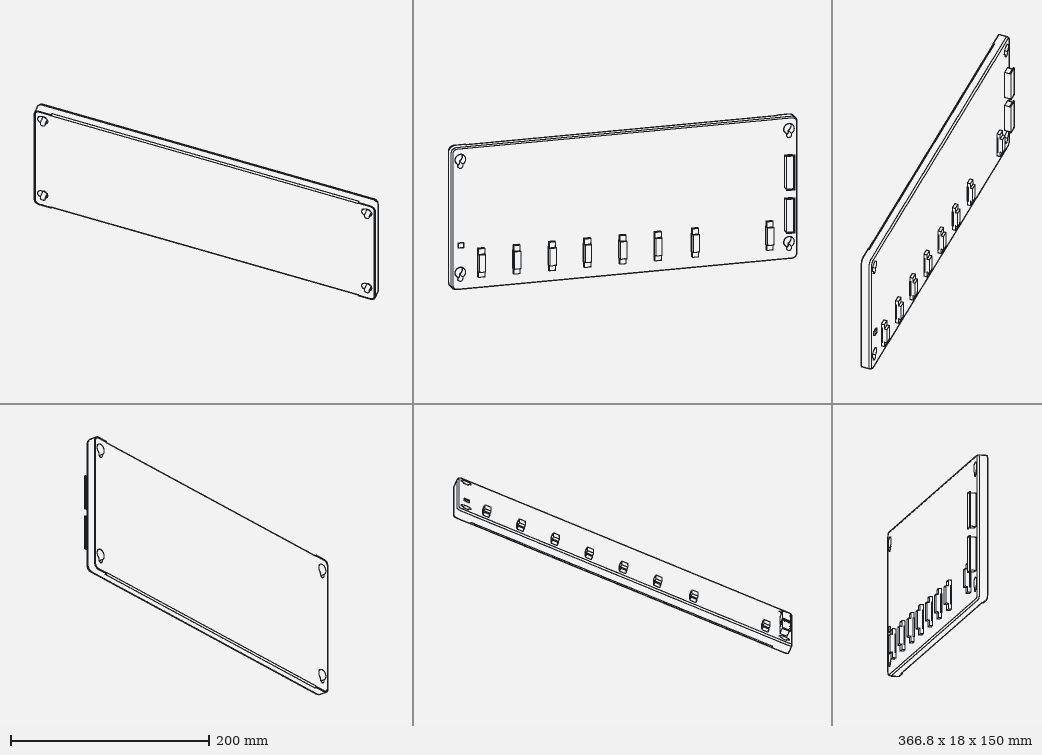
import cadquery as cq

WIDTH = 366.8
HEIGHT = 150.0
TOTAL_DEPTH = 18.0
BODY_DEPTH = 11.0
CORNER_RADIUS = 6.0

REAR_CHAMFER_DEPTH = 2.2
REAR_CHAMFER_INSET = 1.0
FRONT_STEP_DEPTH = 0.2
FRONT_STEP_INSET = 1.0
LONG_BEVEL_DEPTH = 2.0
LONG_BEVEL_INSET = 1.5
LONG_BEVEL_END_GAP = 18.5

KEYHOLE_SIDE_INSET = 9.0
KEYHOLE_UPPER_DROP = 12.5
KEYHOLE_LOWER_RISE = 18.5
KEYHOLE_HEAD_RADIUS = 5.5
KEYHOLE_NECK_RADIUS = 2.5
KEYHOLE_NECK_DROP = 6.5

CONNECTOR_X = 6.2
CONNECTOR_WIDTH = 7.7
CONNECTOR_HEIGHT = 34.5
CONNECTOR_TOP_DROPS = (39.5, 85.0)
FLANGE_THICKNESS = 1.0
FLANGE_OVERHANG = 1.0

SOCKET_WIDTH = 6.5
SOCKET_HEIGHT = 18.5
SOCKET_DEPTH = 6.0
SOCKET_BOTTOM = 18.5
SOCKET_PITCH = 37.5
GROUPED_SOCKETS = 6
FIRST_GROUPED_X = 149.0
SEPARATE_SOCKET_XS = (30.5, 109.3)
EAR_LENGTH = 6.0
EAR_DEPTH = 3.3
PAD_OVERHANG = 0.5
PAD_DEPTH = 1.0

BUTTON_X = 354.3
BUTTON_WIDTH = 6.0
BUTTON_BOTTOM = 44.7
BUTTON_HEIGHT = 5.0
BUTTON_DEPTH = 1.5


def block(x, y, z, width, depth, height):
    """Box given by its lowest corner and its size along X, Y and Z."""
    return cq.Workplane("XY").box(width, depth, height, centered=False).translate((x, y, z))


def make_housing():
    """Rounded plate with a chamfered rear edge and a slightly raised, inset front face."""
    plate = block(0, FRONT_STEP_DEPTH, 0, WIDTH, BODY_DEPTH - FRONT_STEP_DEPTH, HEIGHT)
    plate = plate.edges("|Y").fillet(CORNER_RADIUS)
    plate = plate.faces(">Y").chamfer(REAR_CHAMFER_INSET, REAR_CHAMFER_DEPTH)
    front_face = block(FRONT_STEP_INSET, 0, FRONT_STEP_INSET, WIDTH - 2 * FRONT_STEP_INSET,
                       FRONT_STEP_DEPTH, HEIGHT - 2 * FRONT_STEP_INSET)
    return plate.union(front_face.edges("|Y").fillet(CORNER_RADIUS - FRONT_STEP_INSET))


def long_edge_bevel():
    """Wedge that bevels the top front edge between the two corner regions."""
    wedge = cq.Workplane("YZ").polyline(
        [(0, HEIGHT), (LONG_BEVEL_DEPTH, HEIGHT), (0, HEIGHT - LONG_BEVEL_INSET)]
    ).close()
    return wedge.extrude(WIDTH - 2 * LONG_BEVEL_END_GAP).translate((LONG_BEVEL_END_GAP, 0, 0))


def keyhole(x, z):
    """Cutter with a round head centred at (x, z) and a narrow neck below it."""
    head = cq.Workplane("XZ").center(x, z).circle(KEYHOLE_HEAD_RADIUS).extrude(-BODY_DEPTH)
    neck_end = cq.Workplane("XZ").center(x, z - KEYHOLE_NECK_DROP).circle(KEYHOLE_NECK_RADIUS)
    neck = block(x - KEYHOLE_NECK_RADIUS, 0, z - KEYHOLE_NECK_DROP,
                 2 * KEYHOLE_NECK_RADIUS, BODY_DEPTH, KEYHOLE_NECK_DROP)
    return head.union(neck_end.extrude(-BODY_DEPTH)).union(neck)


def connector(top_drop):
    """Connector shell with a flange at its rear end, flush on the +X side."""
    bottom = HEIGHT - top_drop - CONNECTOR_HEIGHT
    shell = block(CONNECTOR_X, BODY_DEPTH, bottom,
                  CONNECTOR_WIDTH, TOTAL_DEPTH - BODY_DEPTH, CONNECTOR_HEIGHT)
    flange = block(CONNECTOR_X - FLANGE_OVERHANG, TOTAL_DEPTH - FLANGE_THICKNESS, bottom - FLANGE_OVERHANG,
                   CONNECTOR_WIDTH + FLANGE_OVERHANG, FLANGE_THICKNESS, CONNECTOR_HEIGHT + 2 * FLANGE_OVERHANG)
    return shell.union(flange)


def socket(x):
    """Socket centred at x: a tall body on a thin pad, with a lower ear above and below."""
    left = x - SOCKET_WIDTH / 2
    body = block(left, BODY_DEPTH, SOCKET_BOTTOM, SOCKET_WIDTH, SOCKET_DEPTH, SOCKET_HEIGHT)
    ears = block(left, BODY_DEPTH, SOCKET_BOTTOM - EAR_LENGTH,
                 SOCKET_WIDTH, EAR_DEPTH, SOCKET_HEIGHT + 2 * EAR_LENGTH)
    pad = block(left - PAD_OVERHANG, BODY_DEPTH, SOCKET_BOTTOM - PAD_OVERHANG,
                SOCKET_WIDTH + 2 * PAD_OVERHANG, PAD_DEPTH, SOCKET_HEIGHT + 2 * PAD_OVERHANG)
    return body.union(ears).union(pad)


result = make_housing()

top_bevel = long_edge_bevel()
bottom_bevel = top_bevel.mirror("XY", (0, 0, HEIGHT / 2))
result = result.cut(top_bevel).cut(bottom_bevel)

for hole_x in (KEYHOLE_SIDE_INSET, WIDTH - KEYHOLE_SIDE_INSET):
    for hole_z in (KEYHOLE_LOWER_RISE, HEIGHT - KEYHOLE_UPPER_DROP):
        result = result.cut(keyhole(hole_x, hole_z))

for drop in CONNECTOR_TOP_DROPS:
    result = result.union(connector(drop))

grouped_xs = [FIRST_GROUPED_X + i * SOCKET_PITCH for i in range(GROUPED_SOCKETS)]
for socket_x in [*SEPARATE_SOCKET_XS, *grouped_xs]:
    result = result.union(socket(socket_x))

result = result.union(
    block(BUTTON_X, BODY_DEPTH, BUTTON_BOTTOM, BUTTON_WIDTH, BUTTON_DEPTH, BUTTON_HEIGHT)
)